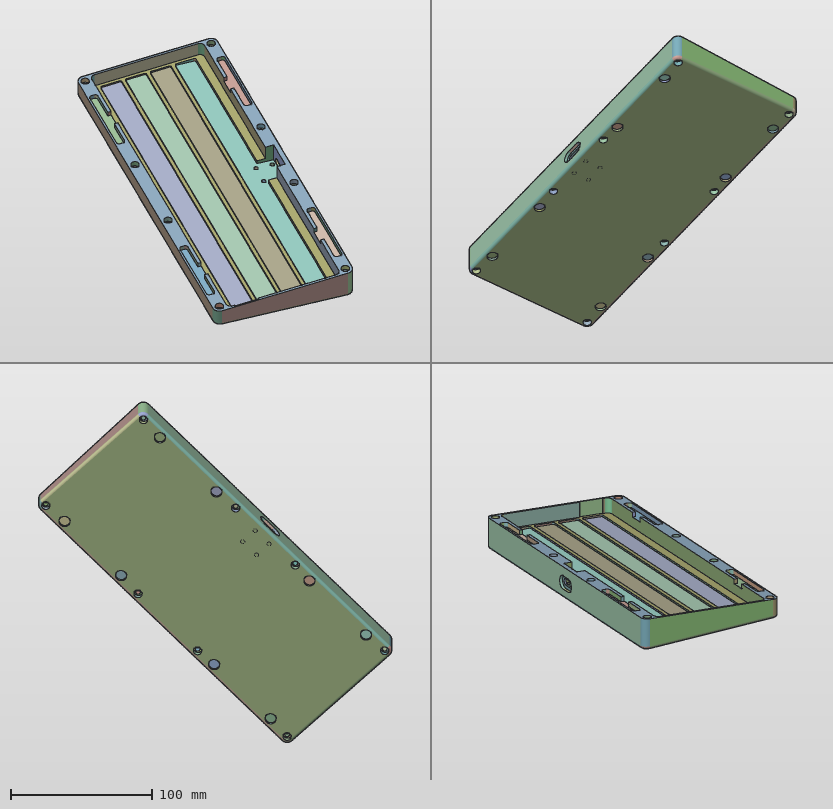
import cadquery as cq
import math


length = 254.0
width = 107.0
height = 23.0
tilt = math.radians(5)
corner_radius = 5.0
bottom_fillet = 2.0

end_wall = 1.8
rim_width = 10.2
cavity_depth = 11.2
cavity_corner = 3.5
relief_depth = 0.8
relief_y_min = -38.0
relief_y_max = -19.8

row_count = 4
row_pitch = 19.0
row_length = 245.9
row_width = 16.0
row_depth = 1.3
row_corner = 1.3
rows_center_y = 0.3

recess_x = -1.0
recess_length = 20.8
rear_wall = 3.8
standoff_hole_diameter = 3.0
standoff_hole_depth = 7.0
standoff_center_x = -0.3
standoff_spacing_x = 14.0
standoff_spacing_y = 12.5
standoff_center_y = 40.6
port_length = 13.7
port_height = 4.8
port_depth = 11.7
port_web = 1.5
plug_margin = 2.5

screw_inset = 5.0
inner_screws_x = (-31.5, 28.7)
screw_diameter = 3.3
counterbore_diameter = 5.8
counterbore_depth = 4.0
head_bore_diameter = 5.8
head_bore_depth = 4.0

slots_x = (-80.8, 82.8)
slot_length = 52.0
slot_width = 6.0
slot_inset = 4.5
slot_depth = 3.5
slot_corner = 2.0
opening_length = 12.2

feet_x = (-104.1, -47.0, 47.0, 104.1)
foot_diameter = 8.0
foot_depth = 2.0
foot_y = 47.2

half_length = length / 2
half_width = width / 2
slope = math.tan(tilt)
rear_edge_depth = height + bottom_fillet * (1 / math.cos(tilt) - 1 + slope)
front_edge_depth = rear_edge_depth - width * slope
cavity_half_width = half_width - rim_width
screw_y = half_width - screw_inset
recess_back = half_width - rear_wall
rear_row_y = rows_center_y + row_pitch * (row_count - 1) / 2
rear_row_front = rear_row_y - row_width / 2


def pocket(x_size, y_size, x, y, top, depth, corner=0):
    """Vertical-walled cutter reaching down from the given height."""
    block = cq.Workplane("XY").box(x_size, y_size, depth, centered=(True, True, False))
    if corner:
        block = block.edges("|Z").fillet(corner)
    return block.translate((x, y, top - depth))


def wedge(points):
    """Side profile of (y, z) points, extruded over the full length."""
    return cq.Workplane("YZ").polyline(points).close().extrude(half_length, both=True)


def outer_body():
    body = wedge([
        (-half_width, 0),
        (half_width, 0),
        (half_width, -rear_edge_depth),
        (-half_width, -front_edge_depth),
    ])
    body = body.edges("|Z").fillet(corner_radius)
    return body.faces("<Z").edges().fillet(bottom_fillet)


def cavity():
    cutter = pocket(length - 2 * end_wall, 2 * cavity_half_width, 0, 0, 0, cavity_depth, cavity_corner)
    relief = pocket(
        2 * relief_depth,
        relief_y_max - relief_y_min,
        half_length - end_wall,
        (relief_y_min + relief_y_max) / 2,
        0,
        cavity_depth,
    )
    return cutter.union(relief)


def flat_rows():
    """Every row pocket except the rear one, whose floor slopes."""
    cutters = cq.Workplane("XY")
    for row in range(1, row_count):
        y = rear_row_y - row * row_pitch
        cutters = cutters.add(pocket(row_length, row_width, 0, y, -cavity_depth, row_depth, row_corner))
    return cutters.combine()


def rear_row_and_recess():
    """The rear row and the controller recess share one floor, parallel to the underside."""
    recess = pocket(
        recess_length,
        recess_back - rear_row_y,
        recess_x,
        (recess_back + rear_row_y) / 2,
        0,
        height,
    )
    row = pocket(row_length, row_width, 0, rear_row_y, -cavity_depth, height, row_corner)
    front_floor = -cavity_depth - row_depth
    back_floor = front_floor - slope * (half_width - rear_row_front)
    above_floor = wedge([
        (rear_row_front, 0),
        (half_width, 0),
        (half_width, back_floor),
        (rear_row_front, front_floor),
    ])
    return row.union(recess).intersect(above_floor)


def standoff_holes():
    """Blind holes square to the sloping recess floor."""
    floor = -cavity_depth - row_depth - slope * (standoff_center_y - rear_row_front)
    return (
        cq.Workplane("XY")
        .rarray(standoff_spacing_x, standoff_spacing_y, 2, 2)
        .circle(standoff_hole_diameter / 2)
        .extrude(standoff_hole_depth, both=True)
        .rotate((0, 0, 0), (1, 0, 0), -math.degrees(tilt))
        .translate((standoff_center_x, standoff_center_y, floor))
    )


def rear_slot(margin, y_min):
    """Round-ended slot running from y_min out through the rear face."""
    return (
        cq.Workplane("XZ", origin=(recess_x, half_width, -port_depth))
        .slot2D(port_length + 2 * margin, port_height + 2 * margin)
        .extrude(half_width - y_min)
    )


def port():
    """Connector slot in a thin web, with a wider plug clearance outside it."""
    return rear_slot(0, recess_back).union(rear_slot(plug_margin, recess_back + port_web))


def underside_depth(y):
    return front_edge_depth + slope * (y + half_width)


def underside_bores(places_x, row_y, diameter, depth):
    """Two rows of bores under the long rims, square to the sloping underside."""
    cutters = cq.Workplane("XY")
    for side in (-1, 1):
        y = side * row_y
        row = (
            cq.Workplane("XY")
            .pushPoints([(x, 0) for x in places_x])
            .circle(diameter / 2)
            .extrude(depth, both=True)
            .rotate((0, 0, 0), (1, 0, 0), -math.degrees(tilt))
            .translate((0, y, -underside_depth(y)))
        )
        cutters = cutters.add(row)
    return cutters.combine()


def screw_holes():
    """Through holes counterbored in the rim and in the underside."""
    outer_x = half_length - screw_inset
    screws_x = (-outer_x, *inner_screws_x, outer_x)
    layout = cq.Workplane("XY").pushPoints([(x, side * screw_y) for x in screws_x for side in (-1, 1)])
    through = layout.circle(screw_diameter / 2).extrude(-rear_edge_depth)
    counterbores = layout.circle(counterbore_diameter / 2).extrude(-counterbore_depth)
    head_bores = underside_bores(screws_x, screw_y, head_bore_diameter, head_bore_depth)
    return through.union(counterbores).union(head_bores)


def rim_slots():
    cutters = cq.Workplane("XY")
    slot_y = half_width - slot_inset
    for x in slots_x:
        for side in (-1, 1):
            slot = pocket(slot_length, slot_width, x, side * slot_y, 0, slot_depth, slot_corner)
            opening_y = (slot_y + cavity_half_width) / 2
            opening = pocket(opening_length, slot_y - cavity_half_width, x, side * opening_y, 0, slot_depth)
            cutters = cutters.add(slot.union(opening))
    return cutters.combine()


result = (
    outer_body()
    .cut(cavity())
    .cut(flat_rows())
    .cut(rear_row_and_recess())
    .cut(standoff_holes())
    .cut(port())
    .cut(screw_holes())
    .cut(rim_slots())
    .cut(underside_bores(feet_x, foot_y, foot_diameter, foot_depth))
)